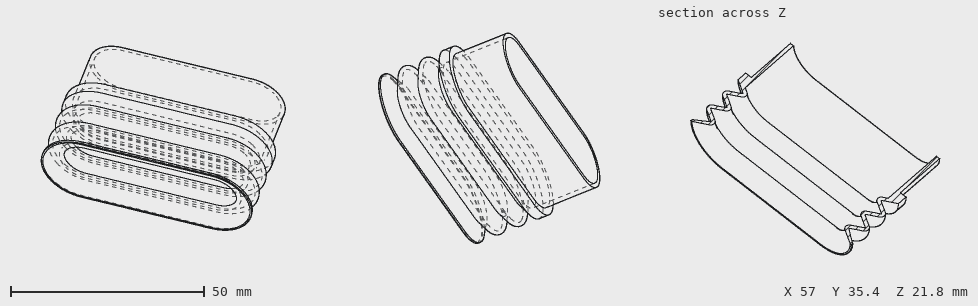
import cadquery as cq
import math

LENGTH_X = 57.0
HEIGHT_Z = 21.8
DEPTH_Y = 35.4

OUTER_RADIUS = HEIGHT_Z / 2
STRAIGHT = LENGTH_X - HEIGHT_Z

WALL = 1.2
RIDGE_ROUNDING = 1.3
CREST_ROUNDING = WALL
PITCH = 6.05
RIDGES = 2
FIRST_VALLEY_Y = 3.35
LAST_VALLEY_Y = FIRST_VALLEY_Y + RIDGES * PITCH
FLANK_ANGLE = math.radians(60)

LIP_BAND = 0.55
LIP_FACE = 0.45

COLLAR_END_Y = 20.7
NECK_RADIUS = 8.9
NECK_BORE_RADIUS = NECK_RADIUS - WALL


def tangent_run(rounding):
    """Distance along Y from the middle of a rounded fold to its flank."""
    return rounding * math.sin(FLANK_ANGLE)


def tangent_drop(rounding):
    """Radial distance from the top of a rounded fold to its flank."""
    return rounding * (1 - math.cos(FLANK_ANGLE))


def flank_run(rise):
    """Distance along Y that a flank takes to change its radius by rise."""
    return rise / math.tan(FLANK_ANGLE)


FLANK_RISE = (PITCH / 2 - tangent_run(RIDGE_ROUNDING)) * math.tan(FLANK_ANGLE)
VALLEY_RADIUS = OUTER_RADIUS - tangent_drop(RIDGE_ROUNDING) - FLANK_RISE
CREST_RADIUS = VALLEY_RADIUS - WALL
GROOVE_RADIUS = CREST_RADIUS + tangent_drop(CREST_ROUNDING) + (
    PITCH / 2 - tangent_run(CREST_ROUNDING)
) * math.tan(FLANK_ANGLE)

COLLAR_START_Y = LAST_VALLEY_Y + flank_run(OUTER_RADIUS - VALLEY_RADIUS)
LAST_FLANK_RISE = NECK_BORE_RADIUS - CREST_RADIUS - tangent_drop(CREST_ROUNDING)
BORE_START_Y = LAST_VALLEY_Y + tangent_run(CREST_ROUNDING) + flank_run(LAST_FLANK_RISE)


def add_fold(profile, middle_y, top_radius, rounding, direction):
    """Line to a rounded fold and arc over it; direction is 1 to bulge outward, -1 inward."""
    run = tangent_run(rounding)
    flank_radius = top_radius - direction * tangent_drop(rounding)
    return profile.lineTo(middle_y - run, flank_radius).threePointArc(
        (middle_y, top_radius), (middle_y + run, flank_radius)
    )


def outer_profile():
    """Outside outline in (y, radius), closed along the slot's centre line."""
    profile = cq.Workplane("YZ").lineTo(0, OUTER_RADIUS).lineTo(LIP_BAND, OUTER_RADIUS)
    for i in range(RIDGES):
        valley_y = FIRST_VALLEY_Y + i * PITCH
        profile = profile.lineTo(valley_y, VALLEY_RADIUS)
        profile = add_fold(profile, valley_y + PITCH / 2, OUTER_RADIUS, RIDGE_ROUNDING, 1)
    return (
        profile.lineTo(LAST_VALLEY_Y, VALLEY_RADIUS)
        .lineTo(COLLAR_START_Y, OUTER_RADIUS)
        .lineTo(COLLAR_END_Y, OUTER_RADIUS)
        .lineTo(COLLAR_END_Y, NECK_RADIUS)
        .lineTo(DEPTH_Y, NECK_RADIUS)
        .lineTo(DEPTH_Y, 0)
        .close()
    )


def inner_profile():
    """Outline of the through passage in (y, radius), closed along the slot's centre line."""
    profile = cq.Workplane("YZ").lineTo(0, OUTER_RADIUS - LIP_FACE)
    for i in range(RIDGES):
        crest_y = FIRST_VALLEY_Y + i * PITCH
        profile = add_fold(profile, crest_y, CREST_RADIUS, CREST_ROUNDING, -1)
        profile = profile.lineTo(crest_y + PITCH / 2, GROOVE_RADIUS)
    return (
        add_fold(profile, LAST_VALLEY_Y, CREST_RADIUS, CREST_ROUNDING, -1)
        .lineTo(BORE_START_Y, NECK_BORE_RADIUS)
        .lineTo(DEPTH_Y, NECK_BORE_RADIUS)
        .lineTo(DEPTH_Y, 0)
        .close()
    )


def slot_solid(profile):
    """Carry a (y, radius) outline around the slot: a straight middle and two half-turn ends."""
    upper_half = profile.extrude(STRAIGHT / 2, both=True)
    half_turn = profile.wires().toPending().revolve(180, (0, 0, 0), (1, 0, 0))
    right_end = half_turn.translate((STRAIGHT / 2, 0, 0))
    left_end = right_end.mirror("YZ")
    return upper_half.union(upper_half.mirror("XY")).union(right_end).union(left_end)


result = slot_solid(outer_profile()).cut(slot_solid(inner_profile()))